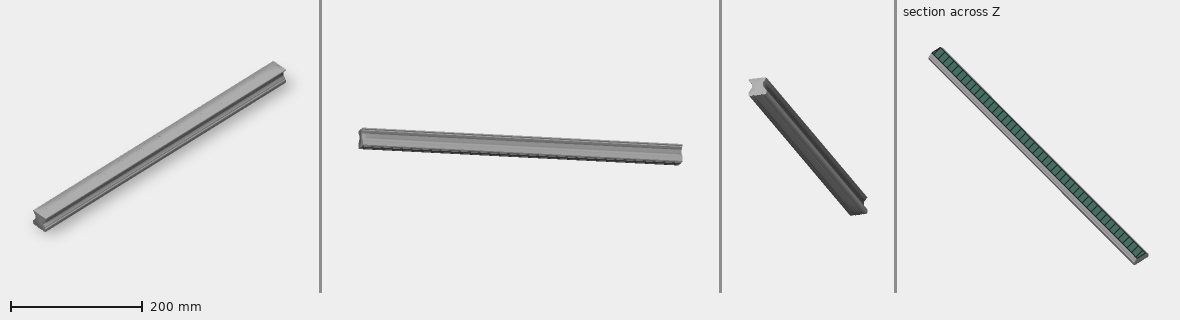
import cadquery as cq

length = 500.0
width = 28.0
height = 28.0

top_chamfer = 0.5
foot_chamfer = 1.5

top_lip_thickness = 1.75
relief_run = 1.75
relief_rise = 1.25
raceway_land = 1.25
raceway_rise = 3.75
neck_half_height = 3.25

raceway_half_width = width / 2 - relief_run
neck_half_width = raceway_half_width - raceway_rise
raceway_end = neck_half_height + raceway_rise
land_end = raceway_end + raceway_land
relief_end = land_end + relief_rise
waist_z = height - top_lip_thickness - relief_end

groove_width = 2.5
groove_inner_offset = 5.5
groove_offset = groove_inner_offset + groove_width / 2
groove_depth = 1.0

hole_count = 13
hole_pitch = 40.0
cap_diameter = 14.0
cap_recess = 0.1


def raceway_side(direction):
    """Points from the neck out to the full width, upwards (+1) or downwards (-1)."""
    return [
        (neck_half_width, waist_z + direction * neck_half_height),
        (raceway_half_width, waist_z + direction * raceway_end),
        (raceway_half_width, waist_z + direction * land_end),
        (width / 2, waist_z + direction * relief_end),
    ]


def rail_body():
    right_flank = [
        (width / 2 - foot_chamfer, 0),
        (width / 2, foot_chamfer),
        *reversed(raceway_side(-1)),
        *raceway_side(1),
        (width / 2, height - top_chamfer),
        (width / 2 - top_chamfer, height),
    ]
    left_flank = [(-x, z) for x, z in reversed(right_flank)]
    profile = cq.Workplane("XZ").polyline(right_flank + left_flank).close()
    return profile.extrude(length / 2, both=True)


def underside_grooves():
    return (
        cq.Workplane("XY")
        .rarray(2 * groove_offset, 5, 2, 1)
        .rect(groove_width, length)
        .extrude(groove_depth)
    )


def cap_recesses():
    return (
        cq.Workplane("XY", origin=(0, 0, height))
        .rarray(5, hole_pitch, 1, hole_count)
        .circle(cap_diameter / 2)
        .extrude(-cap_recess)
    )


result = rail_body().cut(underside_grooves()).cut(cap_recesses())